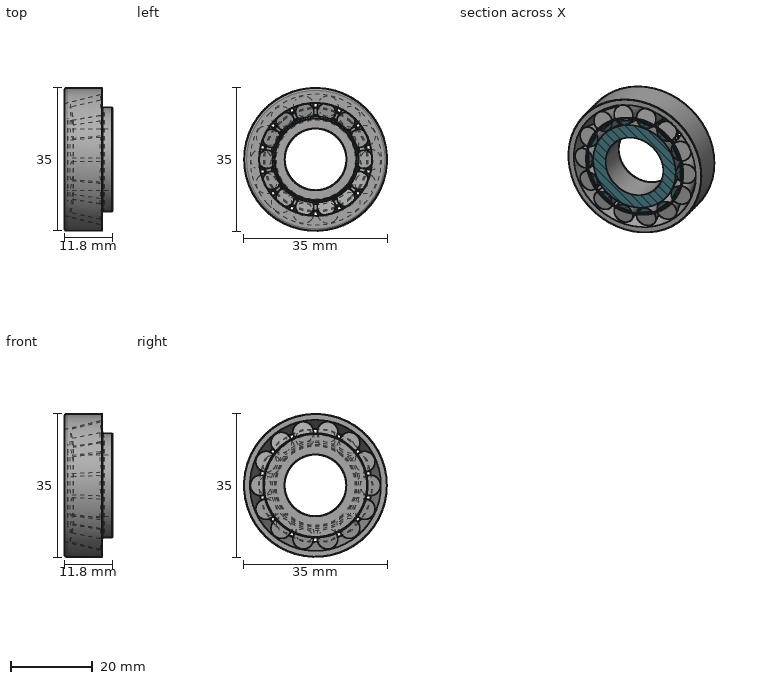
import cadquery as cq
import math


OUTER_RADIUS = 17.5
BEARING_WIDTH = 11.75

ROLLER_COUNT = 14
ROLLER_TILT = 11.8
ROLLER_LENGTH = 7.6
ROLLER_LARGE_RADIUS = 2.52
ROLLER_LARGE_END_X = 9.17
ROLLER_LARGE_PITCH_RADIUS = 13.4

CUP_WIDTH = 9.25
CUP_BACK_FILLET = 0.6
CUP_FRONT_CHAMFER = 0.1
CUP_BORE_CHAMFER = 0.1

CONE_START_X = 0.75
BORE_RADIUS = 7.5
BORE_CHAMFER = 0.1
FRONT_FACE_RADIUS = 9.95
FRONT_CHAMFER = 0.15
SMALL_RIB_RADIUS = 10.55
LARGE_RIB_RADIUS = 12.78
LARGE_RIB_CHAMFER = 0.2
LARGE_RIB_GAP = 0.1

CAGE_INNER_RADIUS = 12.45
CAGE_THICKNESS = 0.35

tilt_sin = math.sin(math.radians(ROLLER_TILT))
tilt_cos = math.cos(math.radians(ROLLER_TILT))


def roller_point(from_large_end, off_axis):
    """Point given by its distance from the large end and its outward distance from the roller axis."""
    x = ROLLER_LARGE_END_X - from_large_end * tilt_cos - off_axis * tilt_sin
    radius = ROLLER_LARGE_PITCH_RADIUS - from_large_end * tilt_sin + off_axis * tilt_cos
    return (x, radius)


def point_at_x(start, end, x):
    """Point at the given X on the line through two points."""
    share = (x - start[0]) / (end[0] - start[0])
    return (x, start[1] + share * (end[1] - start[1]))


def point_at_radius(start, end, radius):
    """Point at the given radius on the line through two points."""
    share = (radius - start[1]) / (end[1] - start[1])
    return (start[0] + share * (end[0] - start[0]), radius)


large_center = roller_point(0, 0)
small_center = roller_point(ROLLER_LENGTH, 0)
roller_small_radius = ROLLER_LARGE_RADIUS * small_center[1] / large_center[1]
large_outer = roller_point(0, ROLLER_LARGE_RADIUS)
small_outer = roller_point(ROLLER_LENGTH, roller_small_radius)
small_inner = roller_point(ROLLER_LENGTH, -roller_small_radius)

roller_taper = (ROLLER_LARGE_RADIUS - roller_small_radius) / ROLLER_LENGTH
rib_foot = roller_point(-LARGE_RIB_GAP, -ROLLER_LARGE_RADIUS - LARGE_RIB_GAP * roller_taper)
rib_middle = roller_point(-LARGE_RIB_GAP, 0)


def revolve_about_x(points):
    """Ring with the given (x, radius) section."""
    return cq.Workplane("XY").polyline(points).close().revolve(360, (0, 0, 0), (1, 0, 0))


def make_cup():
    """Outer ring, whose conical race touches the outer side of the rollers."""
    race_start = point_at_x(small_outer, large_outer, CUP_BORE_CHAMFER)
    race_end = point_at_x(small_outer, large_outer, CUP_WIDTH)
    cup = revolve_about_x([
        (0, race_start[1] + CUP_BORE_CHAMFER),
        (0, OUTER_RADIUS),
        (CUP_WIDTH, OUTER_RADIUS),
        race_end,
        race_start,
    ])
    outer_edge = cq.selectors.RadiusNthSelector(-1)
    cup = cup.faces("<X").edges(outer_edge).fillet(CUP_BACK_FILLET)
    return cup.faces(">X").edges(outer_edge).chamfer(CUP_FRONT_CHAMFER)


def make_cone():
    """Inner ring, whose race lies between a small rib and a large rib."""
    small_rib = point_at_radius(small_inner, small_outer, SMALL_RIB_RADIUS)
    large_rib = point_at_radius(rib_foot, rib_middle, LARGE_RIB_RADIUS)
    cone = revolve_about_x([
        (CONE_START_X, BORE_RADIUS),
        (CONE_START_X, FRONT_FACE_RADIUS),
        (CONE_START_X + FRONT_CHAMFER, FRONT_FACE_RADIUS + FRONT_CHAMFER),
        small_rib,
        small_inner,
        rib_foot,
        large_rib,
        (BEARING_WIDTH, LARGE_RIB_RADIUS),
        (BEARING_WIDTH, BORE_RADIUS),
    ])
    cone = cone.faces(">X").edges(cq.selectors.RadiusNthSelector(-1)).chamfer(LARGE_RIB_CHAMFER)
    return cone.faces("<X or >X").edges(cq.selectors.RadiusNthSelector(0)).chamfer(BORE_CHAMFER)


def make_roller(angle):
    """One tapered roller, turned by an angle about the bearing axis."""
    section = cq.Workplane("XY").polyline([large_center, small_center, small_outer, large_outer]).close()
    roller = section.revolve(360, large_center, small_center)
    return roller.rotate((0, 0, 0), (1, 0, 0), angle)


def make_cage_ring():
    """Thin ring that lies against the face of the large rib."""
    inner_x, inner_radius = point_at_radius(rib_foot, rib_middle, CAGE_INNER_RADIUS)
    outer_x, outer_radius = point_at_radius(rib_foot, rib_middle, LARGE_RIB_RADIUS)
    return revolve_about_x([
        (inner_x, inner_radius),
        (outer_x, outer_radius),
        (outer_x - CAGE_THICKNESS, outer_radius),
        (inner_x - CAGE_THICKNESS, inner_radius),
    ])


def make_roller_set():
    """All rollers and the cage ring as one body."""
    roller_set = make_cage_ring()
    for index in range(ROLLER_COUNT):
        roller_set = roller_set.union(make_roller(index * 360 / ROLLER_COUNT))
    return roller_set


cup = make_cup()
cone = make_cone()
roller_set = make_roller_set()

result = cq.Compound.makeCompound([cup.val(), cone.val(), *roller_set.vals()])